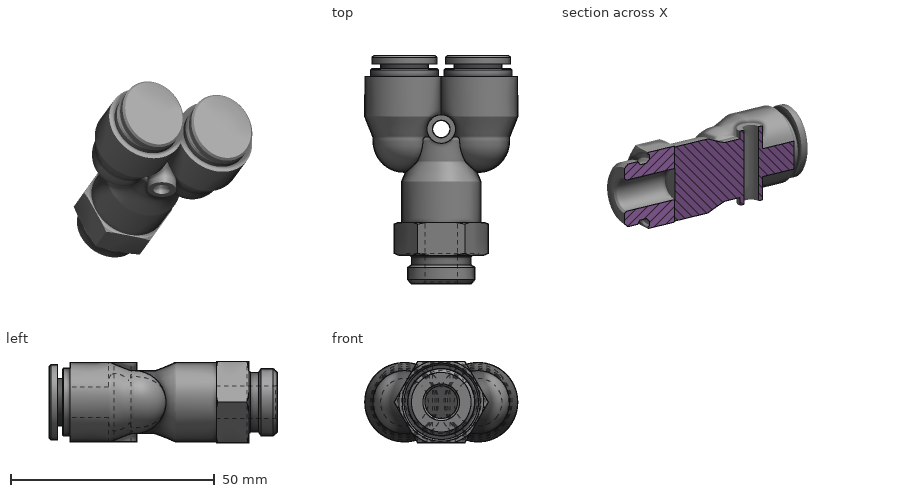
import cadquery as cq
import math


thread_chamfer = 1.05
thread_end = 4.05
neck_start = 4.65
flare_start = 6.6
hex_front = 7.0
hex_back = 15.0
trunk_cone_start = 25.05
trunk_cone_end = 29.95
sphere_centre = 35.05
branch_cone_start = 35.95
trunk_end = 36.05
branch_cone_end = 41.0
port_face = 50.85
insert_face = 52.75
collar_flange_start = 53.9
overall_length = 56.0

thread_diameter = 16.5
neck_diameter = 14.6
tip_diameter = 14.6
bore_diameter = 8.0
bore_chamfer = 0.5
hex_across_flats = 20.0
hex_face_diameter_front = 20.8
hex_face_diameter_back = 21.4
hex_bevel_slope = 0.42
recess_diameter = 19.15
recess_depth = 0.45

body_diameter = 19.5
waist_diameter = 15.45
port_spacing = 18.05
cone_edge_radius = 0.85
edge_tolerance = 0.05
trunk_end_radius = 1.0
boss_y = 37.95
boss_diameter = 7.0
boss_hole_diameter = 4.2

insert_diameter = 16.7
insert_chamfer = 0.35
collar_neck_diameter = 11.7
collar_width = 16.0
collar_height = 18.5
collar_chamfer = 0.5

port_positions = [-port_spacing / 2, port_spacing / 2]


def revolve_about_y(profile):
    """Turn a closed (radius, y) outline into a solid around the Y axis."""
    return profile.close().revolve(360, (0, 0, 0), (0, 1, 0))


def y_cylinder(diameter, start, end):
    """Round bar along the Y axis between two stations."""
    return cq.Workplane("XZ", origin=(0, start, 0)).circle(diameter / 2).extrude(start - end)


def soften_cone_edges(solid, *stations):
    """Blend the circular edges where a cone meets its cylinders."""
    for station in stations:
        band = cq.selectors.BoxSelector(
            (-body_diameter, station - edge_tolerance, -body_diameter),
            (body_diameter, station + edge_tolerance, body_diameter),
            boundingbox=True,
        )
        solid = solid.edges(band).edges("%CIRCLE").fillet(cone_edge_radius)
    return solid


def make_hex():
    """Hexagon with flats facing +Z and -Z, its corners bevelled at both ends."""
    corner_radius = hex_across_flats / math.sqrt(3)
    bar = (
        cq.Workplane("XZ", origin=(0, hex_front, 0))
        .polygon(6, 2 * corner_radius)
        .extrude(hex_front - hex_back)
    )
    front_radius = hex_face_diameter_front / 2
    back_radius = hex_face_diameter_back / 2
    front_bevel = (corner_radius - front_radius) * hex_bevel_slope
    back_bevel = (corner_radius - back_radius) * hex_bevel_slope
    envelope = revolve_about_y(
        cq.Workplane("XY")
        .moveTo(0, hex_front)
        .lineTo(front_radius, hex_front)
        .lineTo(corner_radius, hex_front + front_bevel)
        .lineTo(corner_radius, hex_back - back_bevel)
        .lineTo(back_radius, hex_back)
        .lineTo(0, hex_back)
    )
    return bar.intersect(envelope)


def make_stud():
    """Threaded stud: chamfered thread, relief neck and hexagon, with a bore right through."""
    recess_radius = recess_diameter / 2
    recess_floor = hex_front + recess_depth
    recess = revolve_about_y(
        cq.Workplane("XY")
        .moveTo(0, hex_front)
        .lineTo(recess_radius, hex_front)
        .lineTo(recess_radius - recess_depth, recess_floor)
        .lineTo(0, recess_floor)
    )
    neck_radius = neck_diameter / 2
    flare_radius = neck_radius + recess_floor - flare_start
    shank = revolve_about_y(
        cq.Workplane("XY")
        .lineTo(tip_diameter / 2, 0)
        .lineTo(thread_diameter / 2, thread_chamfer)
        .lineTo(thread_diameter / 2, thread_end)
        .lineTo(neck_radius, neck_start)
        .lineTo(neck_radius, flare_start)
        .lineTo(flare_radius, recess_floor)
        .lineTo(0, recess_floor)
    )
    bore_radius = bore_diameter / 2
    bore = revolve_about_y(
        cq.Workplane("XY")
        .lineTo(bore_radius + bore_chamfer, 0)
        .lineTo(bore_radius, bore_chamfer)
        .lineTo(bore_radius, hex_back)
        .lineTo(0, hex_back)
    )
    return make_hex().cut(recess).union(shank).cut(bore)


def make_trunk():
    """Single leg of the housing, tapering from the stud to a narrow waist with a rounded end."""
    trunk = revolve_about_y(
        cq.Workplane("XY")
        .moveTo(0, hex_back)
        .lineTo(body_diameter / 2, hex_back)
        .lineTo(body_diameter / 2, trunk_cone_start)
        .lineTo(waist_diameter / 2, trunk_cone_end)
        .lineTo(waist_diameter / 2, trunk_end)
        .lineTo(0, trunk_end)
    )
    trunk = trunk.faces(">Y").edges().fillet(trunk_end_radius)
    return soften_cone_edges(trunk, trunk_cone_start, trunk_cone_end)


def make_branch():
    """One port leg of the housing, closed by a hemisphere and widening to the port."""
    waist_radius = waist_diameter / 2
    arc_offset = waist_radius * math.sqrt(0.5)
    branch = revolve_about_y(
        cq.Workplane("XY")
        .moveTo(0, sphere_centre - waist_radius)
        .threePointArc((arc_offset, sphere_centre - arc_offset), (waist_radius, sphere_centre))
        .lineTo(waist_radius, branch_cone_start)
        .lineTo(body_diameter / 2, branch_cone_end)
        .lineTo(body_diameter / 2, port_face)
        .lineTo(0, port_face)
    )
    return soften_cone_edges(branch, branch_cone_start, branch_cone_end)


def make_housing():
    """Trunk and two branches joined, with a drilled mounting boss through the crotch."""
    housing = make_trunk()
    for x in port_positions:
        housing = housing.union(make_branch().translate((x, 0, 0)))
    boss_base = cq.Workplane("XY", origin=(0, boss_y, -body_diameter / 2))
    boss = boss_base.circle(boss_diameter / 2).extrude(body_diameter)
    hole = boss_base.circle(boss_hole_diameter / 2).extrude(body_diameter)
    return housing.union(boss).cut(hole)


def make_insert(x):
    """Round port insert seated on the housing face, chamfered at its outer end."""
    ring = y_cylinder(insert_diameter, port_face, insert_face)
    return ring.faces(">Y").chamfer(insert_chamfer).translate((x, 0, 0))


def make_collar(x):
    """Release collar: a round neck carrying an oval flange that is taller than wide."""
    neck = y_cylinder(collar_neck_diameter, insert_face, collar_flange_start)
    flange = (
        cq.Workplane("XZ", origin=(0, collar_flange_start, 0))
        .ellipse(collar_width / 2, collar_height / 2)
        .extrude(collar_flange_start - overall_length)
        .faces(">Y")
        .chamfer(collar_chamfer)
    )
    return neck.union(flange).translate((x, 0, 0))


stud = make_stud()
housing = make_housing()
inserts = [make_insert(x) for x in port_positions]
collars = [make_collar(x) for x in port_positions]

result = cq.Compound.makeCompound(
    [stud.val(), housing.val()]
    + [insert.val() for insert in inserts]
    + [collar.val() for collar in collars]
)